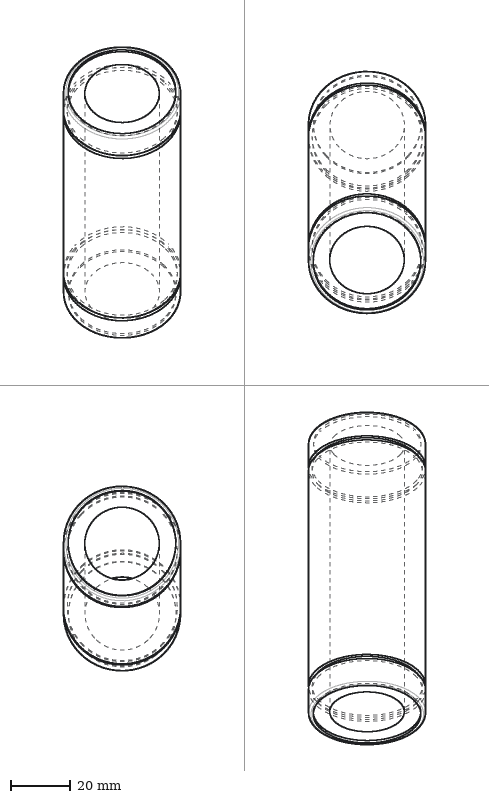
import cadquery as cq

length = 108.8
outer_diameter = 39.7
bore_diameter = 25.2
edge_radius = 0.8
rim_width = 1.6
recess_depth = 1.0
groove_offset = 9.8
groove_width = 1.6
groove_depth = 1.2

outer_radius = outer_diameter / 2


def make_sleeve():
    """Plain tube, centred on the origin, with rounded outer end edges."""
    body = cq.Workplane("XY").circle(outer_radius).extrude(length / 2, both=True)
    body = body.edges("%CIRCLE").fillet(edge_radius)
    bore = cq.Workplane("XY").circle(bore_diameter / 2).extrude(length, both=True)
    return body.cut(bore)


def make_groove():
    """Ring removed for the retaining groove near the top end."""
    return (
        cq.Workplane("XY", origin=(0, 0, length / 2 - groove_offset - groove_width))
        .circle(outer_radius + groove_depth)
        .circle(outer_radius - groove_depth)
        .extrude(groove_width)
    )


def make_end_recess():
    """Shallow round volume removed from the top end face, leaving a raised rim."""
    return (
        cq.Workplane("XY", origin=(0, 0, length / 2 - recess_depth))
        .circle(outer_radius - rim_width)
        .extrude(recess_depth)
    )


result = make_sleeve()
for cutter in (make_groove(), make_end_recess()):
    result = result.cut(cutter).cut(cutter.mirror("XY"))